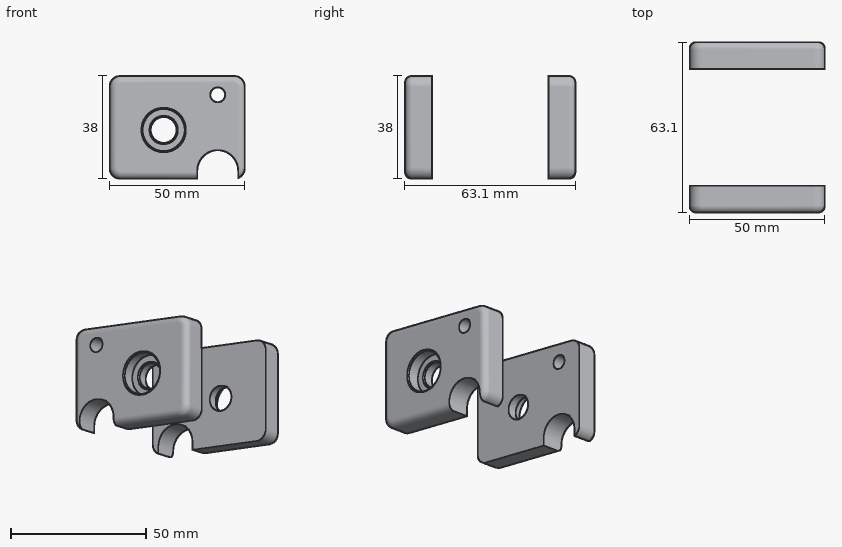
import cadquery as cq

WIDTH = 50.0
HEIGHT = 38.0
DEPTH = 63.1

THICKNESS = 10.0
CORNER_RADIUS = 4.0
RIM_RADIUS = 2.5

BORE_INSET = 20.0
BORE_X = -WIDTH / 2 + BORE_INSET
BORE_Z = HEIGHT / 2 - BORE_INSET
BORE_DIAMETER = 9.5
COUNTERBORE_DIAMETER = 15.5
COUNTERBORE_DEPTH = 5.5
BORE_CHAMFER = 0.5

SIDE_INSET = 10.0
SIDE_X = WIDTH / 2 - SIDE_INSET
SMALL_HOLE_DIAMETER = 5.4
SMALL_HOLE_TOP_INSET = 7.0
SMALL_HOLE_Z = HEIGHT / 2 - SMALL_HOLE_TOP_INSET
NOTCH_DIAMETER = 15.0
NOTCH_DROP = 3.0
NOTCH_Z = -HEIGHT / 2 + NOTCH_DROP


def cylinder(x, z, diameter, y_start, length):
    """Cylinder along +Y starting at y_start."""
    return cq.Workplane("XY").add(
        cq.Solid.makeCylinder(diameter / 2, length, cq.Vector(x, y_start, z), cq.Vector(0, 1, 0))
    )


def bore_chamfer(diameter, y_start):
    """Cone that breaks the edge of a bore opening toward -Y."""
    return cq.Workplane("XY").add(
        cq.Solid.makeCone(
            diameter / 2 + BORE_CHAMFER,
            diameter / 2,
            BORE_CHAMFER,
            cq.Vector(BORE_X, y_start, BORE_Z),
            cq.Vector(0, 1, 0),
        )
    )


def plate_blank(outer_y):
    """Rounded block with its outward -Y edges filleted."""
    block = cq.Workplane("XY").box(WIDTH, THICKNESS, HEIGHT)
    block = block.edges("|Y").fillet(CORNER_RADIUS)
    block = block.faces("<Y").edges().fillet(RIM_RADIUS)
    return block.translate((0, outer_y + THICKNESS / 2, 0))


def stepped_bore(outer_y):
    """Through bore and counterbore, both with chamfered mouths."""
    floor_y = outer_y + COUNTERBORE_DEPTH
    bore = cylinder(BORE_X, BORE_Z, BORE_DIAMETER, outer_y, THICKNESS)
    counterbore = cylinder(BORE_X, BORE_Z, COUNTERBORE_DIAMETER, outer_y, COUNTERBORE_DEPTH)
    mouth = bore_chamfer(COUNTERBORE_DIAMETER, outer_y)
    inner_mouth = bore_chamfer(BORE_DIAMETER, floor_y)
    return bore.union(counterbore).union(mouth).union(inner_mouth)


def notch(outer_y):
    """Round-topped notch open through the bottom edge."""
    arch = cylinder(SIDE_X, NOTCH_Z, NOTCH_DIAMETER, outer_y, THICKNESS)
    slot = cq.Workplane("XY").box(NOTCH_DIAMETER, THICKNESS, NOTCH_DROP)
    slot = slot.translate((SIDE_X, outer_y + THICKNESS / 2, NOTCH_Z - NOTCH_DROP / 2))
    return arch.union(slot)


def make_front_plate():
    """Plate with its rim and counterbore toward -Y."""
    outer_y = -DEPTH / 2
    small_hole = cylinder(SIDE_X, SMALL_HOLE_Z, SMALL_HOLE_DIAMETER, outer_y, THICKNESS)
    plate = plate_blank(outer_y).cut(stepped_bore(outer_y))
    return plate.cut(small_hole).cut(notch(outer_y))


front_plate = make_front_plate()
rear_plate = front_plate.mirror("XZ")

result = cq.Compound.makeCompound([front_plate.val(), rear_plate.val()])